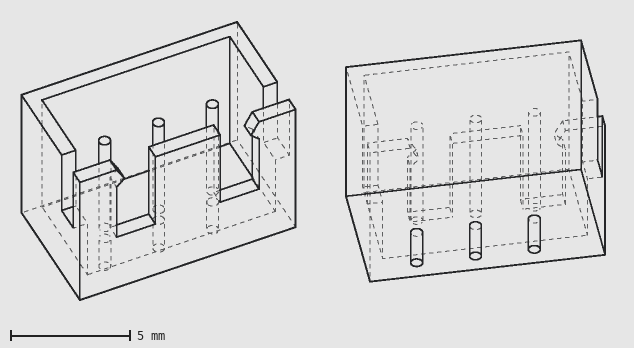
import cadquery as cq

width = 5.71
length = 10.0
height = 7.01
wall = 0.65
floor_thickness = wall

pin_count = 3
pin_pitch = 2.5
pin_diameter = 0.5
pin_top = 5.8
pin_tail = 1.65

end_slot_width = 1.13
end_slot_depth = 3.3

tab_length = 3.0
post_length = 1.7
gap_depth = 4.0

nose_reach = 0.37
nose_drop = 0.66
nose_height = 1.02

wall_inner_x = width / 2 - wall


def make_housing():
    body = cq.Workplane("XY").box(width, length, height, centered=(True, True, False))
    cavity = (
        cq.Workplane("XY", origin=(0, 0, floor_thickness))
        .box(width - 2 * wall, length - 2 * wall, height, centered=(True, True, False))
    )
    return body.cut(cavity)


def make_end_slots():
    """One cutter running along Y through both end walls."""
    return (
        cq.Workplane("XY", origin=(wall_inner_x - end_slot_width / 2, 0, height - end_slot_depth))
        .box(end_slot_width, length, end_slot_depth, centered=(True, True, False))
    )


def make_latch_gap(side):
    """Gap between the centre tab and a post, narrowed by the post's nose."""
    tab_y = side * tab_length / 2
    post_y = side * (length / 2 - post_length)
    tip_y = post_y - side * nose_reach
    gap_bottom = height - gap_depth
    outline = [
        (tab_y, gap_bottom),
        (tab_y, height),
        (post_y, height),
        (tip_y, height - nose_drop),
        (post_y, height - nose_height),
        (post_y, gap_bottom),
    ]
    return (
        cq.Workplane("YZ", origin=(wall_inner_x, 0, 0))
        .polyline(outline)
        .close()
        .extrude(wall)
    )


def make_pins():
    return (
        cq.Workplane("XY", origin=(0, 0, -pin_tail))
        .rarray(0.1, pin_pitch, 1, pin_count)
        .circle(pin_diameter / 2)
        .extrude(pin_tail + pin_top)
    )


housing = make_housing().cut(make_end_slots())
for side in (-1, 1):
    housing = housing.cut(make_latch_gap(side))

result = housing.union(make_pins())